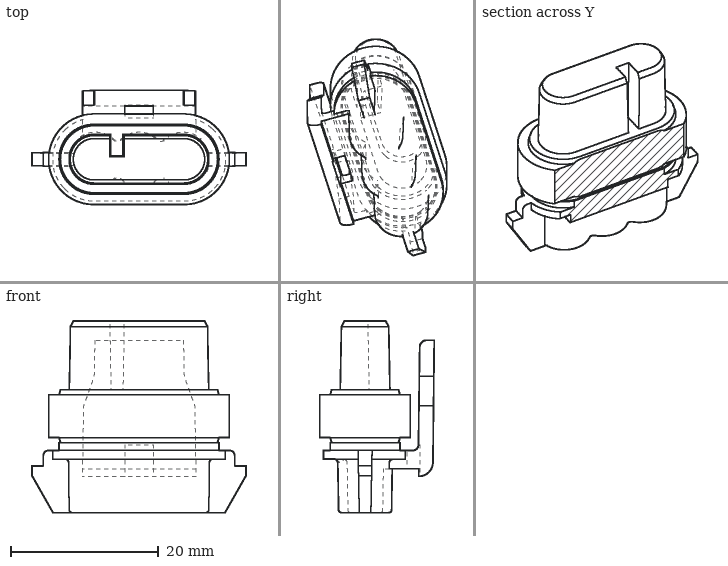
import cadquery as cq
import math

ARC_CENTRE_X = 6.1
TOP_Z = 26.0
TONGUE_CHAMFER_Z = 25.2
COLLAR_TOP_Z = 16.7
SEAL_TOP_Z = 16.0
SEAL_BOTTOM_Z = 10.2
LIP_TOP_Z = 9.5
FLANGE_TOP_Z = 8.45
FLANGE_BOTTOM_Z = 7.27

TONGUE_TOP_R = 2.8
TONGUE_SHOULDER_R = 3.22
TONGUE_BASE_R = 3.38
COLLAR_R = 4.74
COLLAR_NARROW_R = 4.54
SEAL_R = 6.15
FLANGE_R = 5.64

KEYWAY_X = -3.0
KEYWAY_WIDTH = 1.95
KEYWAY_FRONT_Y = 0.35
KEYWAY_DRAFT = 0.16

POD_PITCH = 5.93
POD_R = 3.61
POD_TOP_R = 3.73
POD_VALLEY_R = 0.5
POD_EDGE_FILLET = 0.45

HOOK_TIP_X = 14.5
HOOK_NECK_X = 12.97
HOOK_FOOT_X = 11.65
HOOK_SHELF_Z = 6.35
HOOK_TIP_BOTTOM_Z = 5.03
HOOK_CORNER_R = 0.7
HOOK_TOP_THICKNESS = 1.9
HOOK_FOOT_THICKNESS = 1.57

ARM_TOP_Z = 23.4
ARM_BOTTOM_Z = 4.93
ARM_PLATE_BOTTOM_Z = 5.95
ARM_TOP_OUTER_Y = 9.38
ARM_THICKNESS = 2.0
ARM_LEAN = 0.17
ARM_TIP_R = 1.0
ARM_INNER_R = 0.75
ARM_HEEL_R = 1.95
ARM_LEAN_END_Z = ARM_BOTTOM_Z + ARM_HEEL_R
ARM_FOOT_HALF_WIDTH = 7.7
ARM_SHOULDER_HALF_WIDTH = 7.53
ARM_NECK_HALF_WIDTH = 6.1
ARM_TIP_HALF_WIDTH = 6.0
ARM_SHOULDER_Z = 14.5
ARM_NECK_Z = 18.5
WINDOW_WIDTH = 3.85


def stadium(bottom_r, top_r, bottom_z, top_z):
    """Stadium prism whose end radius changes linearly from bottom to top."""
    height = top_z - bottom_z
    draft = math.degrees(math.atan((bottom_r - top_r) / height))
    return (
        cq.Workplane("XY", origin=(0, 0, bottom_z))
        .slot2D(2 * (ARC_CENTRE_X + bottom_r), 2 * bottom_r)
        .extrude(height, taper=draft)
    )


def make_body():
    levels = [
        (COLLAR_R, COLLAR_R, FLANGE_TOP_Z, LIP_TOP_Z),
        (COLLAR_NARROW_R, COLLAR_R, LIP_TOP_Z, SEAL_BOTTOM_Z),
        (SEAL_R, SEAL_R, SEAL_BOTTOM_Z, SEAL_TOP_Z),
        (COLLAR_R, COLLAR_NARROW_R, SEAL_TOP_Z, COLLAR_TOP_Z),
    ]
    body = stadium(FLANGE_R, FLANGE_R, FLANGE_BOTTOM_Z, FLANGE_TOP_Z)
    for level in levels:
        body = body.union(stadium(*level))
    return body


def make_tongue():
    shank = stadium(TONGUE_BASE_R, TONGUE_SHOULDER_R, COLLAR_TOP_Z, TONGUE_CHAMFER_Z)
    nose = stadium(TONGUE_SHOULDER_R, TONGUE_TOP_R, TONGUE_CHAMFER_Z, TOP_Z)
    depth = TOP_Z - COLLAR_TOP_Z
    back_y = 2 * TONGUE_BASE_R
    keyway = (
        cq.Workplane("XY", origin=(KEYWAY_X, (KEYWAY_FRONT_Y + back_y) / 2, TOP_Z))
        .rect(KEYWAY_WIDTH, back_y - KEYWAY_FRONT_Y)
        .extrude(-depth, taper=math.degrees(math.atan(KEYWAY_DRAFT / depth)))
    )
    return shank.union(nose).cut(keyway)


def make_pods():
    """Three merged round pods with rounded valleys, widening towards the flange."""
    valleys = cq.selectors.BoxSelector((-POD_PITCH, -POD_R, -POD_R), (POD_PITCH, POD_R, POD_R))
    outline = (
        cq.Sketch()
        .push([(-POD_PITCH, 0), (0, 0), (POD_PITCH, 0)])
        .circle(POD_R)
        .reset()
        .clean()
        .vertices(valleys)
        .fillet(POD_VALLEY_R)
    )
    draft = math.degrees(math.atan((POD_TOP_R - POD_R) / FLANGE_BOTTOM_Z))
    return (
        cq.Workplane("XY")
        .placeSketch(outline)
        .extrude(FLANGE_BOTTOM_Z, taper=-draft)
        .faces("<Z")
        .edges()
        .fillet(POD_EDGE_FILLET)
    )


def fillet_pod_roots(body):
    """Round the corner where the pods meet the underside of the flange."""
    reach_x = POD_PITCH + POD_TOP_R / 2
    reach_y = POD_TOP_R
    margin_z = 0.01
    roots = cq.selectors.BoxSelector(
        (-reach_x, -reach_y, FLANGE_BOTTOM_Z - margin_z),
        (reach_x, reach_y, FLANGE_BOTTOM_Z + margin_z),
    )
    return body.edges(roots).fillet(POD_EDGE_FILLET)


def make_hook(side):
    """Snap hook at one end: side is +1 for +X, -1 for -X."""
    root_x = POD_PITCH
    corner_x = HOOK_NECK_X - HOOK_CORNER_R
    corner_z = FLANGE_TOP_Z - HOOK_CORNER_R
    half_chord = HOOK_CORNER_R * math.sqrt(0.5)
    profile = (
        cq.Workplane("XZ")
        .moveTo(side * root_x, 0)
        .lineTo(side * HOOK_FOOT_X, 0)
        .lineTo(side * HOOK_TIP_X, HOOK_TIP_BOTTOM_Z)
        .lineTo(side * HOOK_TIP_X, HOOK_SHELF_Z)
        .lineTo(side * HOOK_NECK_X, HOOK_SHELF_Z)
        .lineTo(side * HOOK_NECK_X, corner_z)
        .threePointArc(
            (side * (corner_x + half_chord), corner_z + half_chord),
            (side * corner_x, FLANGE_TOP_Z),
        )
        .lineTo(side * root_x, FLANGE_TOP_Z)
        .close()
        .extrude(HOOK_TOP_THICKNESS, both=True)
    )
    wedge = (
        cq.Workplane("YZ")
        .polyline([
            (-HOOK_FOOT_THICKNESS / 2, 0),
            (HOOK_FOOT_THICKNESS / 2, 0),
            (HOOK_TOP_THICKNESS / 2, FLANGE_TOP_Z),
            (-HOOK_TOP_THICKNESS / 2, FLANGE_TOP_Z),
        ])
        .close()
        .extrude(HOOK_TIP_X, both=True)
    )
    return profile.intersect(wedge)


def make_arm():
    """L-shaped latch arm: a plate from the pods and a slightly leaning upright."""
    top_inner_y = ARM_TOP_OUTER_Y - ARM_THICKNESS
    foot_outer_y = ARM_TOP_OUTER_Y - ARM_LEAN
    foot_inner_y = foot_outer_y - ARM_THICKNESS
    lip_y = foot_outer_y - ARM_HEEL_R
    heel_mid = ARM_HEEL_R * math.sqrt(0.5)
    tip_mid = ARM_TIP_R * math.sqrt(0.5)
    inner_mid = ARM_INNER_R * (1 - math.sqrt(0.5))
    profile = (
        cq.Workplane("YZ")
        .moveTo(0, ARM_PLATE_BOTTOM_Z)
        .lineTo(lip_y, ARM_PLATE_BOTTOM_Z)
        .lineTo(lip_y, ARM_BOTTOM_Z)
        .threePointArc(
            (lip_y + heel_mid, ARM_LEAN_END_Z - heel_mid),
            (foot_outer_y, ARM_LEAN_END_Z),
        )
        .lineTo(ARM_TOP_OUTER_Y, ARM_TOP_Z)
        .lineTo(top_inner_y + ARM_TIP_R, ARM_TOP_Z)
        .threePointArc(
            (top_inner_y + ARM_TIP_R - tip_mid, ARM_TOP_Z - ARM_TIP_R + tip_mid),
            (top_inner_y, ARM_TOP_Z - ARM_TIP_R),
        )
        .lineTo(foot_inner_y, FLANGE_TOP_Z + ARM_INNER_R)
        .threePointArc(
            (foot_inner_y - inner_mid, FLANGE_TOP_Z + inner_mid),
            (foot_inner_y - ARM_INNER_R, FLANGE_TOP_Z),
        )
        .lineTo(0, FLANGE_TOP_Z)
        .close()
        .extrude(ARM_FOOT_HALF_WIDTH, both=True)
    )
    right_edge = [
        (ARM_FOOT_HALF_WIDTH, ARM_BOTTOM_Z),
        (ARM_SHOULDER_HALF_WIDTH, ARM_SHOULDER_Z),
        (ARM_NECK_HALF_WIDTH, ARM_NECK_Z),
        (ARM_TIP_HALF_WIDTH, ARM_TOP_Z),
    ]
    left_edge = [(-x, z) for x, z in reversed(right_edge)]
    silhouette = (
        cq.Workplane("XZ")
        .polyline(right_edge + left_edge)
        .close()
        .extrude(-ARM_TOP_OUTER_Y)
    )
    window_length = top_inner_y - FLANGE_R
    window = (
        cq.Workplane("XY", origin=(0, FLANGE_R + window_length / 2, ARM_BOTTOM_Z))
        .rect(WINDOW_WIDTH, window_length)
        .extrude(FLANGE_TOP_Z + ARM_INNER_R - ARM_BOTTOM_Z)
    )
    return profile.intersect(silhouette).cut(window)


body = make_body().union(make_tongue()).union(make_pods())
result = fillet_pod_roots(body).union(make_arm())
for hook_side in (-1, 1):
    result = result.union(make_hook(hook_side))